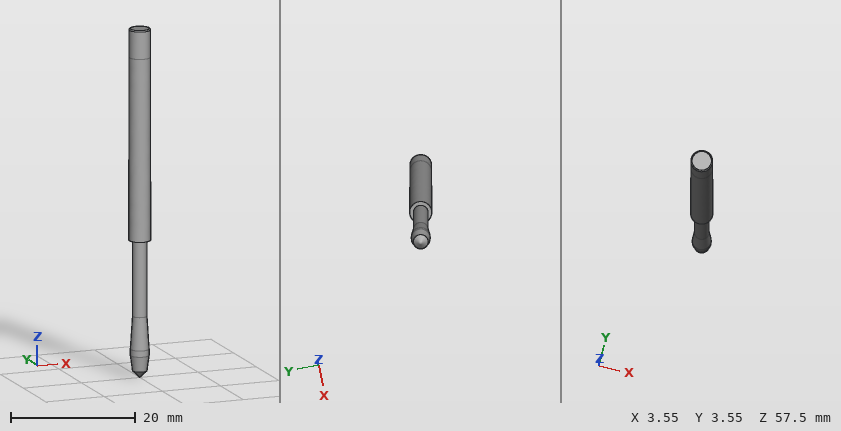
import cadquery as cq

TOTAL_HEIGHT = 57.5
SLEEVE_BOTTOM = 22.65
SLEEVE_SHOULDER = 52.8
HEAD_TOP = 10.1
BAND_TOP = 4.7
BAND_BOTTOM = 3.7
POINT_BASE = 1.15

SLEEVE_DIAMETER = 3.55
SLEEVE_CAP_DIAMETER = 3.5
ROD_DIAMETER = 2.35
BAND_DIAMETER = 3.05
POINT_BASE_DIAMETER = 2.35

TOP_CHAMFER = 0.2


def revolve_profile(points):
    """Turn (radius, height) points into a solid around the Z axis."""
    return cq.Workplane("XZ").polyline(points).close().revolve(360, (0, 0, 0), (0, 1, 0))


def make_sleeve():
    """Round sleeve, very slightly tapered up to a straight, chamfered top end."""
    cap_radius = SLEEVE_CAP_DIAMETER / 2
    sleeve = revolve_profile([
        (0, SLEEVE_BOTTOM),
        (SLEEVE_DIAMETER / 2, SLEEVE_BOTTOM),
        (cap_radius, SLEEVE_SHOULDER),
        (cap_radius, TOTAL_HEIGHT),
        (0, TOTAL_HEIGHT),
    ])
    return sleeve.faces(">Z").chamfer(TOP_CHAMFER)


def make_plunger():
    """Rod with a tapered, pointed head; its upper end meets the sleeve's lower face."""
    return revolve_profile([
        (0, 0),
        (POINT_BASE_DIAMETER / 2, POINT_BASE),
        (BAND_DIAMETER / 2, BAND_BOTTOM),
        (BAND_DIAMETER / 2, BAND_TOP),
        (ROD_DIAMETER / 2, HEAD_TOP),
        (ROD_DIAMETER / 2, SLEEVE_BOTTOM),
        (0, SLEEVE_BOTTOM),
    ])


sleeve = make_sleeve()
plunger = make_plunger()

result = cq.Compound.makeCompound([sleeve.val(), plunger.val()])